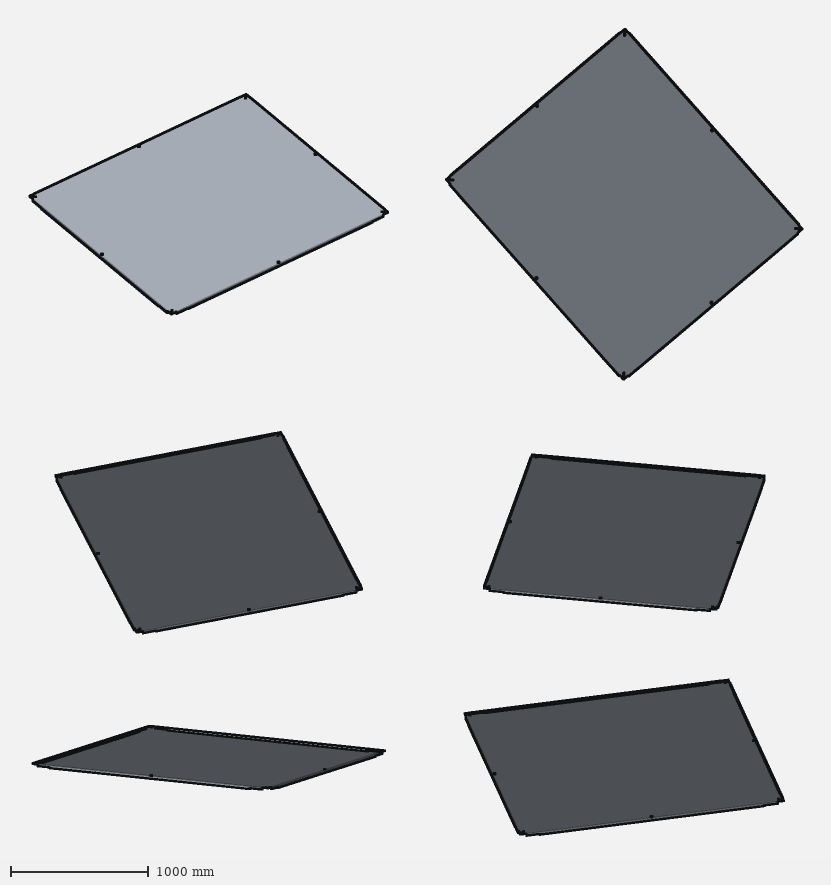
import cadquery as cq

length_x = 1726.0
length_y = 1980.0
height = 22.0

bend_radius = 5.0
sheet = bend_radius / 2

corner_gap = 50.0
tab_inset = 150.0
rim_height = 15.0

large_hole = 12.7
small_hole = 7.1
large_hole_inset = 20.0
small_hole_inset = 38.0


def flat_panel():
    """Flat top sheet, ending on all four sides at the line where the flange bends start."""
    panel_x = length_x - 2 * bend_radius
    panel_y = length_y - 2 * bend_radius
    panel = cq.Workplane("XY").box(panel_x, panel_y, sheet, centered=(True, True, False))
    return panel.translate((0, 0, height - sheet))


def flange(side_length, span):
    """Bent flange along the -Y side of a panel, side_length along X and span along Y."""
    outer_face = -span / 2
    bend_end = outer_face + bend_radius
    inner_radius = bend_radius - sheet
    profile = (
        cq.Workplane("YZ")
        .moveTo(outer_face, 0)
        .lineTo(outer_face, height - bend_radius)
        .radiusArc((bend_end, height), bend_radius)
        .lineTo(bend_end, height - sheet)
        .radiusArc((outer_face + sheet, height - bend_radius), -inner_radius)
        .lineTo(outer_face + sheet, 0)
        .close()
    )
    strip_length = side_length - 2 * corner_gap
    tab_length = side_length - 2 * tab_inset
    strip = profile.extrude(strip_length / 2, both=True)
    short_end = (strip_length - tab_length) / 2
    for side in (-1, 1):
        below_rim = (
            cq.Workplane("XY")
            .center(side * (tab_length + short_end) / 2, outer_face)
            .rect(short_end, 2 * bend_radius)
            .extrude(height - rim_height)
        )
        strip = strip.cut(below_rim)
    return strip


def drill(diameter, centres):
    """Round cutters through the panel."""
    return cq.Workplane("XY").pushPoints(centres).circle(diameter / 2).extrude(2 * height)


def corner_points(inset):
    """One point in each corner, the same distance in from both sides."""
    x = length_x / 2 - inset
    y = length_y / 2 - inset
    return [(x, y), (-x, y), (-x, -y), (x, -y)]


def middle_points(inset):
    """One point at the middle of each side."""
    x = length_x / 2 - inset
    y = length_y / 2 - inset
    return [(x, 0), (0, y), (-x, 0), (0, -y)]


front_flange = flange(length_x, length_y)
side_flange = flange(length_y, length_x)

result = flat_panel()
for turn in (0, 180):
    result = result.union(front_flange.rotate((0, 0, 0), (0, 0, 1), turn))
    result = result.union(side_flange.rotate((0, 0, 0), (0, 0, 1), turn + 90))

result = result.cut(drill(large_hole, corner_points(large_hole_inset) + middle_points(large_hole_inset)))
result = result.cut(drill(small_hole, corner_points(small_hole_inset)))